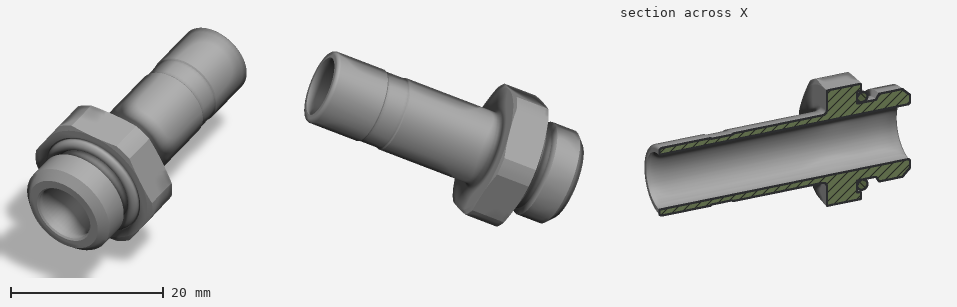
import cadquery as cq
import math

length = 36.0
thread_end = 4.45
neck_start = 4.9
hex_start = 7.0
hex_end = 12.0
groove_start = 25.35
groove_end = 28.65

bore_radius = 4.0
thread_radius = 6.48
neck_radius = 5.7
tube_radius = 5.0
groove_radius = 4.85
hex_across_flats = 17.0
hex_turned_diameter = 18.4
hex_corner_radius = hex_turned_diameter / 2

thread_chamfer = 1.1
bore_chamfer = 0.2
hex_chamfer_height = 0.18
root_fillet = 0.5
tube_end_fillet = 0.45
groove_taper = 0.18

ring_outer_radius = 7.2
ring_front = 6.1
ring_section_radius = (ring_outer_radius - neck_radius) / 2
ring_center_radius = neck_radius + ring_section_radius
ring_center_y = ring_front + ring_section_radius
seat_radius = 7.38
seat_bottom = ring_center_y + ring_section_radius


def revolve_about_y(profile):
    """Turn a closed profile, drawn as (radius, Y), about the Y axis."""
    return profile.close().revolve(360, (0, 0, 0), (0, 1, 0))


def cylinder(radius, start, end):
    """Solid cylinder on the Y axis between two stations."""
    return revolve_about_y(
        cq.Workplane("XY").moveTo(0, start).lineTo(radius, start).lineTo(radius, end).lineTo(0, end)
    )


def make_threaded_end():
    """Chamfered thread cylinder and the relief neck behind it."""
    return revolve_about_y(
        cq.Workplane("XY")
        .lineTo(thread_radius - thread_chamfer, 0)
        .lineTo(thread_radius, thread_chamfer)
        .lineTo(thread_radius, thread_end)
        .lineTo(neck_radius, neck_start)
        .lineTo(neck_radius, seat_bottom)
        .lineTo(0, seat_bottom)
    )


def make_hexagon():
    """Hexagon with turned corners, chamfered at both faces, and a ring seat."""
    across_corners = hex_across_flats / math.cos(math.radians(30))
    hexagon = (
        cq.Workplane("XZ", origin=(0, hex_start, 0))
        .polygon(6, across_corners)
        .extrude(hex_start - hex_end)
    )
    face_radius = hex_across_flats / 2
    turned_blank = revolve_about_y(
        cq.Workplane("XY")
        .moveTo(0, hex_start)
        .lineTo(face_radius, hex_start)
        .lineTo(hex_corner_radius, hex_start + hex_chamfer_height)
        .lineTo(hex_corner_radius, hex_end - hex_chamfer_height)
        .lineTo(face_radius, hex_end)
        .lineTo(0, hex_end)
    )
    return hexagon.intersect(turned_blank).cut(cylinder(seat_radius, hex_start, seat_bottom))


def make_tube():
    """Plain tube with a root fillet, a shallow tapered groove and a rounded end."""
    return revolve_about_y(
        cq.Workplane("XY")
        .moveTo(0, seat_bottom)
        .lineTo(tube_radius, seat_bottom)
        .lineTo(tube_radius, hex_end)
        .lineTo(tube_radius + root_fillet, hex_end)
        .radiusArc((tube_radius, hex_end + root_fillet), root_fillet)
        .lineTo(tube_radius, groove_start)
        .lineTo(groove_radius, groove_start + groove_taper)
        .lineTo(groove_radius, groove_end - groove_taper)
        .lineTo(tube_radius, groove_end)
        .lineTo(tube_radius, length - tube_end_fillet)
        .radiusArc((tube_radius - tube_end_fillet, length), -tube_end_fillet)
        .lineTo(0, length)
    )


def make_bore():
    """Through bore with a chamfered mouth at the threaded end."""
    return revolve_about_y(
        cq.Workplane("XY")
        .lineTo(bore_radius + bore_chamfer, 0)
        .lineTo(bore_radius, bore_chamfer)
        .lineTo(bore_radius, length)
        .lineTo(0, length)
    )


def make_fitting():
    return make_threaded_end().union(make_hexagon()).union(make_tube()).cut(make_bore()).solids()


def make_sealing_ring():
    """Round-section ring around the neck, partly sunk in the hexagon seat."""
    return (
        cq.Workplane("XY")
        .center(ring_center_radius, ring_center_y)
        .circle(ring_section_radius)
        .revolve(360, (-ring_center_radius, 0, 0), (-ring_center_radius, 1, 0))
    )


fitting = make_fitting()
sealing_ring = make_sealing_ring()

result = cq.Compound.makeCompound([fitting.val(), sealing_ring.val()])